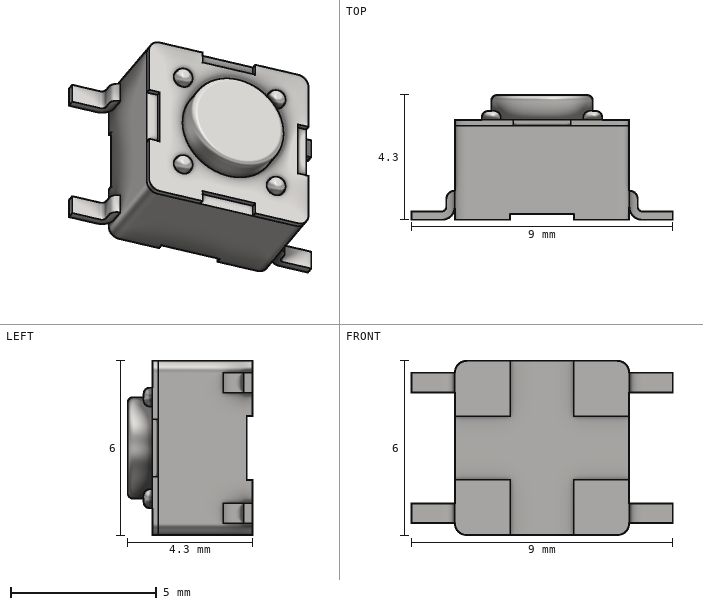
import cadquery as cq

OVERALL_LENGTH = 9.0
OVERALL_HEIGHT = 4.3
BODY_SIDE = 6.0
BODY_HEIGHT = 3.45
CORNER_RADIUS = 0.405

FOOT_GAP = 2.2
FOOT_HEIGHT = 0.2

COVER_THICKNESS = 0.2
NOTCH_WIDTH = 1.98
NOTCH_DEPTH = 0.405

BUTTON_DIAMETER = 3.5
BUTTON_EDGE_RADIUS = 0.2
BUTTON_HEIGHT = OVERALL_HEIGHT - BODY_HEIGHT

STUD_DIAMETER = 0.66
STUD_HEIGHT = 0.31
STUD_EDGE_RADIUS = 0.225
STUD_PITCH = 3.5

LEAD_WIDTH = 0.68
LEAD_THICKNESS = 0.3
LEAD_PITCH = 4.5
LEAD_HEIGHT = 1.01
LEAD_INNER_RADIUS = 0.15

LEAD_OUTER_RADIUS = LEAD_INNER_RADIUS + LEAD_THICKNESS
HOUSING_TOP = BODY_HEIGHT - COVER_THICKNESS
WALL_X = BODY_SIDE / 2


def facing_up_y(y):
    """Workplane at height y with its normal along +Y; local x is Z, local y is X."""
    return cq.Workplane("ZX", origin=(0, y, 0))


def rounded_block(y, height):
    """Square block with rounded corners standing on height y."""
    block = facing_up_y(y).rect(BODY_SIDE, BODY_SIDE).extrude(height)
    return block.edges("|Y").fillet(CORNER_RADIUS)


def make_housing():
    """Block whose underside has crossed channels that leave a foot at each corner."""
    base = facing_up_y(0)
    channel_along_z = base.rect(BODY_SIDE, FOOT_GAP).extrude(FOOT_HEIGHT)
    channel_along_x = base.rect(FOOT_GAP, BODY_SIDE).extrude(FOOT_HEIGHT)
    return rounded_block(0, HOUSING_TOP).cut(channel_along_z).cut(channel_along_x)


def make_cover():
    """Plate notched at the middle of each side, with a round button and four studs."""
    plate = rounded_block(HOUSING_TOP, COVER_THICKNESS)
    notch_centre = (BODY_SIDE - NOTCH_DEPTH) / 2
    for angle in (0, 90, 180, 270):
        notch = (
            facing_up_y(HOUSING_TOP)
            .center(notch_centre, 0)
            .rect(NOTCH_DEPTH, NOTCH_WIDTH)
            .extrude(COVER_THICKNESS)
            .rotate((0, 0, 0), (0, 1, 0), angle)
        )
        plate = plate.cut(notch)

    button = facing_up_y(BODY_HEIGHT).circle(BUTTON_DIAMETER / 2).extrude(BUTTON_HEIGHT)
    button = button.faces(">Y").edges().fillet(BUTTON_EDGE_RADIUS)

    studs = (
        facing_up_y(BODY_HEIGHT)
        .rect(STUD_PITCH, STUD_PITCH, forConstruction=True)
        .vertices()
        .circle(STUD_DIAMETER / 2)
        .extrude(STUD_HEIGHT)
    )
    studs = studs.faces(">Y").edges().fillet(STUD_EDGE_RADIUS)
    return plate.union(button).union(studs)


def make_lead(side, z):
    """Bent strip against the +X (side = 1) or -X (side = -1) wall, centred on z."""
    outer_face_x = WALL_X + LEAD_THICKNESS
    lead = (
        cq.Workplane("XY", origin=(0, 0, z))
        .moveTo(WALL_X, LEAD_OUTER_RADIUS)
        .radiusArc((WALL_X + LEAD_OUTER_RADIUS, 0), -LEAD_OUTER_RADIUS)
        .lineTo(OVERALL_LENGTH / 2, 0)
        .lineTo(OVERALL_LENGTH / 2, LEAD_THICKNESS)
        .lineTo(outer_face_x + LEAD_INNER_RADIUS, LEAD_THICKNESS)
        .radiusArc((outer_face_x, LEAD_OUTER_RADIUS), LEAD_INNER_RADIUS)
        .lineTo(outer_face_x, LEAD_HEIGHT - LEAD_THICKNESS)
        .radiusArc((WALL_X, LEAD_HEIGHT), -LEAD_THICKNESS)
        .close()
        .extrude(LEAD_WIDTH / 2, both=True)
    )
    return lead if side > 0 else lead.mirror("YZ")


housing = make_housing()
cover = make_cover()
leads = [make_lead(side, z) for side in (-1, 1) for z in (-LEAD_PITCH / 2, LEAD_PITCH / 2)]

result = cq.Compound.makeCompound(
    [housing.solids().val(), cover.solids().val(), *[lead.solids().val() for lead in leads]]
)